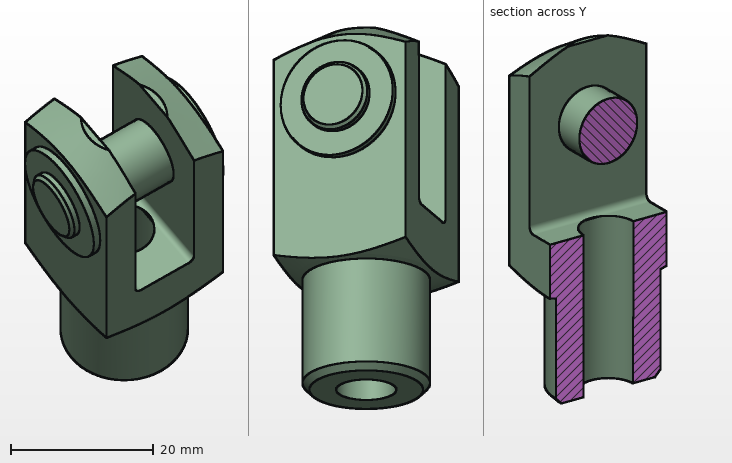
import cadquery as cq
import math

total_height = 52.0
fork_width = 20.0
neck_diameter = 18.0
neck_chamfer = 1.0
neck_height = 16.4
shoulder_height = 16.65
bore_diameter = 8.5

lower_cone_angle = 20.0
upper_cone_angle = 30.0
top_flat_radius = 6.1

slot_width = fork_width / 2
slot_floor = 25.0
slot_fillet = 1.0

pin_diameter = 10.0
pin_length = 25.0
pin_height = 40.0
pin_chamfer = 0.5
collar_diameter = 17.0
collar_thickness = 1.1


def turned_envelope():
    """Revolved blank: chamfered neck, flare, lower cone, outer cylinder, upper cone."""
    neck_radius = neck_diameter / 2
    shoulder_radius = fork_width / 2
    blank_radius = fork_width
    lower_rise = (blank_radius - shoulder_radius) * math.tan(math.radians(lower_cone_angle))
    upper_drop = (blank_radius - top_flat_radius) * math.tan(math.radians(upper_cone_angle))
    profile = [
        (0, 0),
        (neck_radius - neck_chamfer, 0),
        (neck_radius, neck_chamfer),
        (neck_radius, neck_height),
        (shoulder_radius, shoulder_height),
        (blank_radius, shoulder_height + lower_rise),
        (blank_radius, total_height - upper_drop),
        (top_flat_radius, total_height),
        (0, total_height),
    ]
    return cq.Workplane("XZ").polyline(profile).close().revolve(360, (0, 0), (0, 1))


def arm_slot():
    """Cutter for the slot along X, with rounded floor edges."""
    slot_depth = total_height - slot_floor
    return (
        cq.Workplane("XY")
        .workplane(offset=slot_floor)
        .rect(fork_width, slot_width)
        .extrude(slot_depth)
        .edges("|X and <Z")
        .fillet(slot_fillet)
    )


def cylinder_along_y(diameter, length):
    """Cylinder on the pin axis, centred between the arms."""
    return (
        cq.Workplane("XZ")
        .center(0, pin_height)
        .circle(diameter / 2)
        .extrude(length / 2, both=True)
    )


def make_fork():
    block = cq.Workplane("XY").rect(fork_width, fork_width).extrude(total_height)
    bore = cq.Workplane("XY").circle(bore_diameter / 2).extrude(slot_floor)
    pin_hole = cylinder_along_y(pin_diameter, fork_width)
    return turned_envelope().intersect(block).cut(arm_slot()).cut(bore).cut(pin_hole)


def make_pin():
    pin = cylinder_along_y(pin_diameter, pin_length).faces("<Y or >Y").chamfer(pin_chamfer)
    collar_span = fork_width + 2 * collar_thickness
    collars = cylinder_along_y(collar_diameter, collar_span).cut(
        cylinder_along_y(collar_diameter, fork_width)
    )
    return pin.union(collars)


fork = make_fork()
pin = make_pin()

result = cq.Compound.makeCompound([fork.solids().val(), pin.solids().val()])